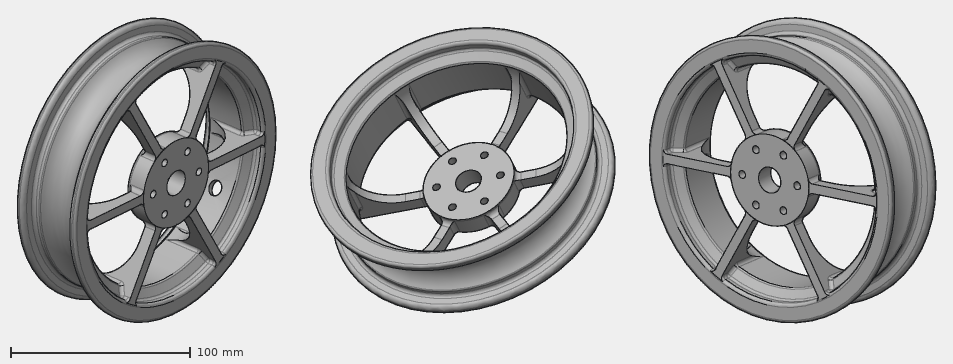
import cadquery as cq
import math

rim_width = 45.0
rim_radius = 82.5
flange_base_thickness = 6.0
flange_tip_thickness = 5.3
flange_outer_fillet = 1.6
flange_inner_fillet = 3.0
seat_radius = 74.2
seat_fillet = 2.0
groove_half_width = 12.2
groove_floor_radius = 67.2
groove_edge_fillet = 1.0
lip_radius = 71.3
lip_depth = 6.0
lip_fillet = 2.0
bore_radius = 64.5
bore_half_width = 12.9
bore_edge_fillet = 1.3

hub_radius = 26.5
hub_thickness = 12.0
axle_diameter = 15.0
bolt_count = 6
bolt_circle_radius = 18.6
bolt_diameter = 4.5

spoke_count = 6
spoke_width = 5.6
spoke_inset = 0.2
spoke_hub_depth = 8.0
spoke_sweep_start = 38.1
spoke_hub_fillet = 3.0
spoke_rim_fillet = 2.0

valve_diameter = 8.9
valve_angle = -180 / spoke_count

half_width = rim_width / 2
hub_front = half_width - hub_thickness
spoke_back = half_width - spoke_inset
spoke_front = half_width - spoke_hub_depth
sweep_radius = bore_radius - spoke_sweep_start
sweep_end = spoke_front - sweep_radius
arc_middle = math.sqrt(0.5)
axis_start = (0, 0, 0)
axis_end = (1, 0, 0)
reach = 0.08


def ring_edges(x, radius):
    """Pick the circular edges of one radius in the planes at +x and -x."""

    def slab(center, half_side):
        return cq.selectors.BoxSelector(
            (center - reach, -half_side, -half_side),
            (center + reach, half_side, half_side),
            boundingbox=True,
        )

    outer = slab(x, radius + reach) + slab(-x, radius + reach)
    inner = slab(x, radius - reach) + slab(-x, radius - reach)
    return outer - inner


def flank_edges(y_low, y_high):
    """Pick the edges on both flanks of the +Y spoke that lie between two Y places."""

    def flank(z):
        return cq.selectors.BoxSelector(
            (-half_width, y_low, z - reach),
            (half_width, y_high, z + reach),
            boundingbox=True,
        )

    return flank(-spoke_width / 2) + flank(spoke_width / 2)


def make_rim():
    flange_base = half_width - flange_base_thickness
    flange_tip = half_width - flange_tip_thickness
    lip_end = half_width - lip_depth
    rim = (
        cq.Workplane("XY")
        .moveTo(-half_width, lip_radius)
        .lineTo(-half_width, rim_radius)
        .lineTo(-flange_tip, rim_radius)
        .lineTo(-flange_base, seat_radius)
        .lineTo(-groove_half_width, seat_radius)
        .threePointArc((0, groove_floor_radius), (groove_half_width, seat_radius))
        .lineTo(flange_base, seat_radius)
        .lineTo(flange_tip, rim_radius)
        .lineTo(half_width, rim_radius)
        .lineTo(half_width, lip_radius)
        .lineTo(lip_end, lip_radius)
        .lineTo(bore_half_width, bore_radius)
        .lineTo(-bore_half_width, bore_radius)
        .lineTo(-lip_end, lip_radius)
        .close()
        .revolve(360, axis_start, axis_end)
    )
    for x, radius, fillet in (
        (half_width, rim_radius, flange_outer_fillet),
        (flange_tip, rim_radius, flange_inner_fillet),
        (flange_base, seat_radius, seat_fillet),
        (groove_half_width, seat_radius, groove_edge_fillet),
        (half_width, lip_radius, lip_fillet),
        (lip_end, lip_radius, lip_fillet),
        (bore_half_width, bore_radius, bore_edge_fillet),
    ):
        rim = rim.edges(ring_edges(x, radius)).fillet(fillet)
    return rim


def make_hub_blank():
    """Hub cylinder, still as deep as the full spokes."""
    return (
        cq.Workplane("YZ", origin=(sweep_end, 0, 0))
        .circle(hub_radius)
        .extrude(half_width - sweep_end)
    )


def make_spoke_blank():
    """Plate along +Y from the axis into the rim wall, deeper where the rim opens out."""
    wall_middle = (bore_radius + groove_floor_radius) / 2
    flange_root = (lip_radius + seat_radius) / 2
    return (
        cq.Workplane("XY", origin=(0, 0, -spoke_width / 2))
        .moveTo(sweep_end, 0)
        .lineTo(sweep_end, wall_middle)
        .lineTo(bore_half_width, wall_middle)
        .lineTo(bore_half_width, flange_root)
        .lineTo(spoke_back, flange_root)
        .lineTo(spoke_back, 0)
        .close()
        .extrude(spoke_width)
    )


def add_spokes(wheel):
    """Join one spoke along +Y with its root fillets, then turn the wheel to the next place."""
    edge_margin = 0.8
    hub_roots = flank_edges(hub_radius - edge_margin, hub_radius + edge_margin)
    rim_roots = flank_edges(bore_radius - edge_margin, rim_radius)
    for _ in range(spoke_count):
        wheel = wheel.union(make_spoke_blank())
        wheel = wheel.edges(hub_roots).fillet(spoke_hub_fillet)
        wheel = wheel.edges(rim_roots).fillet(spoke_rim_fillet)
        wheel = wheel.rotate(axis_start, axis_end, 360 / spoke_count)
    return wheel


def make_front_void():
    """Turned space on the -X side of the hub and spokes; it shapes their -X faces."""
    fillet_rise = spoke_hub_fillet * (1 - arc_middle)
    sweep_center_x = spoke_front - sweep_radius
    return (
        cq.Workplane("XY")
        .moveTo(sweep_end, 0)
        .lineTo(hub_front, 0)
        .lineTo(hub_front, hub_radius)
        .lineTo(spoke_front - spoke_hub_fillet, hub_radius)
        .threePointArc(
            (spoke_front - fillet_rise, hub_radius + fillet_rise),
            (spoke_front, hub_radius + spoke_hub_fillet),
        )
        .lineTo(spoke_front, spoke_sweep_start)
        .threePointArc(
            (
                sweep_center_x + sweep_radius * arc_middle,
                spoke_sweep_start + sweep_radius * arc_middle,
            ),
            (sweep_end, bore_radius),
        )
        .close()
        .revolve(360, axis_start, axis_end)
    )


def make_hub_holes():
    axle = cq.Workplane("YZ").circle(axle_diameter / 2).extrude(rim_width)
    bolts = (
        cq.Workplane("YZ")
        .polarArray(bolt_circle_radius, 0, 360, bolt_count)
        .circle(bolt_diameter / 2)
        .extrude(rim_width)
    )
    return axle.union(bolts)


def make_valve_hole():
    hole = cq.Workplane("XZ").circle(valve_diameter / 2).extrude(-rim_radius)
    return hole.rotate(axis_start, axis_end, valve_angle)


wheel = add_spokes(make_rim().union(make_hub_blank()))
wheel = wheel.cut(make_front_void())
result = wheel.cut(make_hub_holes()).cut(make_valve_hole())